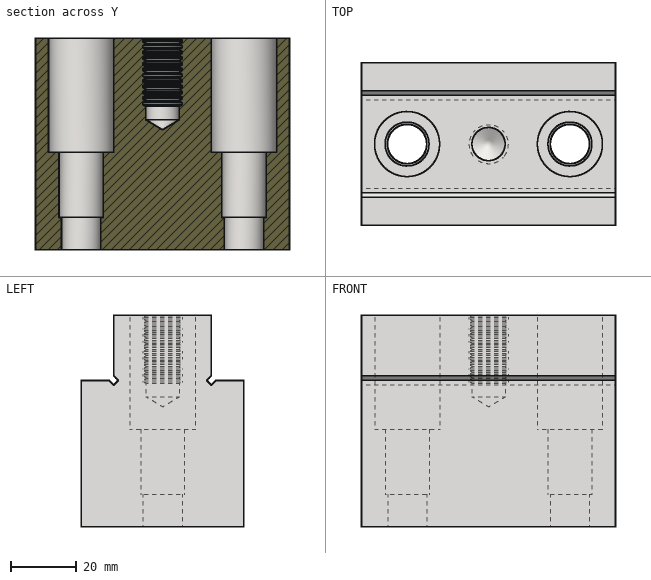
import cadquery as cq
import math

LENGTH = 78.0
BASE_WIDTH = 50.0
BASE_HEIGHT = 45.0
TONGUE_WIDTH = 30.0
TOTAL_HEIGHT = 65.0

RELIEF_SIDE = 2.0

SCREW_SPACING = 50.0
COUNTERBORE_DIAMETER = 20.0
COUNTERBORE_DEPTH = 35.0
CLEARANCE_DIAMETER = 13.5
BORE_DIAMETER = 12.0
BORE_LENGTH = 10.0

THREAD_MAJOR_DIAMETER = 12.0
THREAD_MINOR_DIAMETER = 10.2
THREAD_PITCH = 1.75
THREAD_CREST = THREAD_PITCH / 8
THREAD_FLANK_ANGLE = 30.0
THREAD_RINGS = 12
DRILL_DEPTH = 25.0
DRILL_POINT_ANGLE = 118.0


def block():
    """T-shaped section with corner reliefs, extruded along X."""
    half_base = BASE_WIDTH / 2
    half_tongue = TONGUE_WIDTH / 2
    relief_reach = RELIEF_SIDE / math.sqrt(2)
    half_section = [
        (half_base, 0),
        (half_base, BASE_HEIGHT),
        (half_tongue + relief_reach, BASE_HEIGHT),
        (half_tongue, BASE_HEIGHT - relief_reach),
        (half_tongue - relief_reach, BASE_HEIGHT),
        (half_tongue, BASE_HEIGHT + relief_reach),
        (half_tongue, TOTAL_HEIGHT),
    ]
    other_half = [(-y, z) for y, z in reversed(half_section)]
    section = cq.Workplane("YZ").polyline(half_section + other_half).close()
    return section.extrude(LENGTH / 2, both=True)


def screw_hole(x):
    """Counterbored through hole that narrows again near the underside."""
    steps = [
        (BORE_DIAMETER, 0),
        (CLEARANCE_DIAMETER, BORE_LENGTH),
        (COUNTERBORE_DIAMETER, TOTAL_HEIGHT - COUNTERBORE_DEPTH),
    ]
    hole = cq.Workplane("XY")
    for diameter, floor in steps:
        step = cq.Workplane("XY", origin=(x, 0, floor)).circle(diameter / 2)
        hole = hole.union(step.extrude(TOTAL_HEIGHT - floor))
    return hole


def threaded_hole():
    """Blind drilled hole with a conical point and ring-shaped thread grooves."""
    minor = THREAD_MINOR_DIAMETER / 2
    major = THREAD_MAJOR_DIAMETER / 2
    flank = (major - minor) * math.tan(math.radians(THREAD_FLANK_ANGLE))
    point = minor / math.tan(math.radians(DRILL_POINT_ANGLE / 2))
    drill_floor = TOTAL_HEIGHT - DRILL_DEPTH

    profile = [(0, TOTAL_HEIGHT), (minor, TOTAL_HEIGHT)]
    for ring in range(THREAD_RINGS):
        groove_top = TOTAL_HEIGHT - THREAD_CREST / 2 - ring * THREAD_PITCH
        groove_bottom = groove_top - THREAD_PITCH + THREAD_CREST
        profile += [
            (minor, groove_top),
            (major, groove_top - flank),
            (major, groove_bottom + flank),
            (minor, groove_bottom),
        ]
    profile += [(minor, drill_floor), (0, drill_floor - point)]
    return cq.Workplane("XZ").polyline(profile).close().revolve(360, (0, 0), (0, 1))


result = block()
for side in (-1, 1):
    result = result.cut(screw_hole(side * SCREW_SPACING / 2))
result = result.cut(threaded_hole())